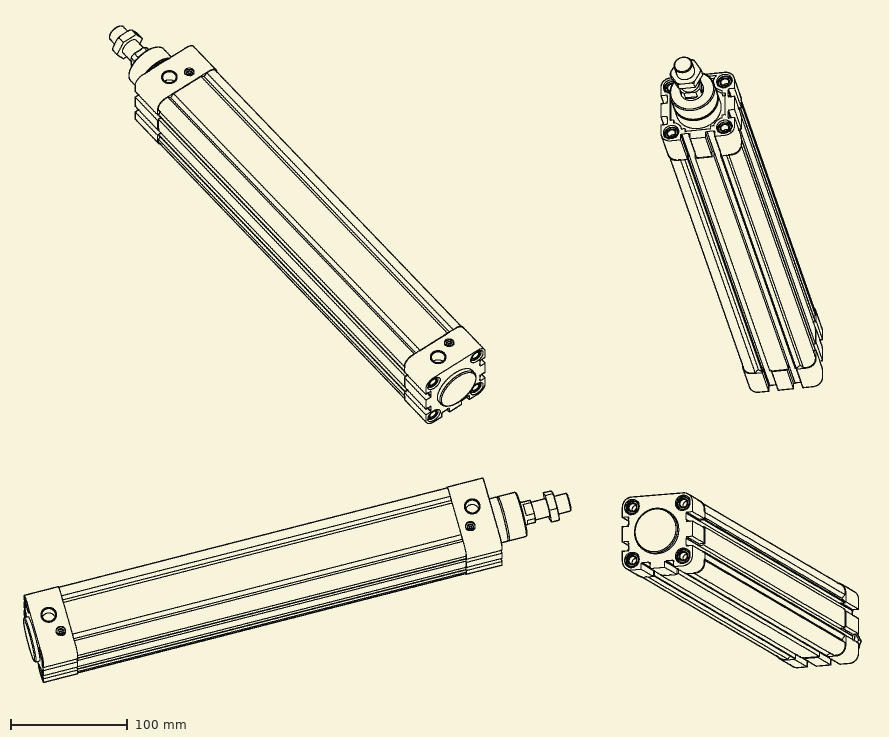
import cadquery as cq
import math

TOTAL_LENGTH = 478.5
THREAD_LENGTH = 32.0
FLATS_LENGTH = 7.0
COLLAR_START = 42.0
COLLAR_GROOVE_START = 58.0
FRONT_CAP_START = 68.0
FRONT_CAP_END = 99.5
REAR_CAP_START = 444.0
REAR_CAP_END = 474.0

CAP_SIZE = 64.0
CAP_CORNER_RADIUS = 8.5
BARREL_SIZE = 62.5
BARREL_CORNER_RADIUS = 7.5

SLOT_INNER = 8.0
SLOT_OUTER = 14.0
SLOT_FLOOR = 26.5
CAP_SLOT_INNER = 6.5
CAP_SLOT_OUTER = 15.0
CAP_SLOT_FLOOR = 27.0

V_GROOVE_INNER = 15.0
V_GROOVE_APEX = 18.0
V_GROOVE_OUTER = 21.0
V_GROOVE_DEPTH = 3.0

COLLAR_DIAMETER = 39.0
COLLAR_GROOVE_WIDTH = 1.5
COLLAR_GROOVE_DEPTH = 0.5
COLLAR_CHAMFER = 1.0

RECESS_DEPTH = 4.5
RECESS_HALF_WIDTH = 24.0
RECESS_TOP = 29.5
POST_SIDE = 21.0
POST_END = 11.0
BOSS_DIAMETER = 19.0
RIB_DIAMETER = 4.0
RIB_Y = 1.5

SCREW_SPACING = 46.5
SCREW_BORE_DIAMETER = 13.5
SCREW_HEAD_DIAMETER = 11.0
SCREW_SOCKET_MOUTH_DIAMETER = 8.0
SCREW_SOCKET_DIAMETER = 6.5
SCREW_SOCKET_MOUTH_DEPTH = 0.5
SCREW_BORE_DEPTH = 3.0
SCREW_HEAD_HEIGHT = 1.5
SCREW_SOCKET_DEPTH = 9.5

PORT_MOUTH_DIAMETER = 13.5
PORT_MOUTH_DEPTH = 0.5
PORT_DIAMETER = 11.5
PORT_DEPTH = 12.0
PORT_Y = -7.0
CUSHION_BORE_DIAMETER = 8.0
CUSHION_BORE_DEPTH = 2.0
CUSHION_SOCKET_DIAMETER = 5.5
CUSHION_SOCKET_DEPTH = 4.0
CUSHION_PILOT_DIAMETER = 2.5
CUSHION_PILOT_DEPTH = 5.7
CUSHION_Y = 9.5
CUSHION_OFFSET = 6.0

ROD_DIAMETER = 20.0
THREAD_DIAMETER = 16.0
THREAD_CHAMFER = 0.7
FLATS_WIDTH = 17.0
NUT_START = 12.0
NUT_THICKNESS = 7.0
NUT_WIDTH = 24.0
NUT_CHAMFER = 1.0

FRONT_CAP_MIDDLE = (FRONT_CAP_START + FRONT_CAP_END) / 2
REAR_CAP_MIDDLE = (REAR_CAP_START + REAR_CAP_END) / 2
SIDE_ANGLES = (90, -90, 180)
ALL_ANGLES = (0, *SIDE_ANGLES)


def section(x):
    """Workplane across the axis at x, with local x along Y, local y along Z and normal +X."""
    return cq.Workplane("YZ", origin=(x, 0, 0))


def disc(x_start, x_end, diameter):
    return section(x_start).circle(diameter / 2).extrude(x_end - x_start)


def rounded_bar(x_start, x_end, size, corner_radius):
    bar = section(x_start).rect(size, size).extrude(x_end - x_start)
    return bar.edges("|X").fillet(corner_radius)


def around_axis(cutter, angles):
    """Copies of a cutter turned about the X axis."""
    copies = cq.Workplane()
    for angle in angles:
        copies = copies.add(cutter.rotate((0, 0, 0), (1, 0, 0), angle))
    return copies.combine()


def slots(x_start, x_end, inner, outer, floor):
    """Pairs of rectangular slots along both sides and the bottom, open at the face."""
    slot = (
        section(x_start)
        .center((inner + outer) / 2, (floor + CAP_SIZE) / 2)
        .rect(outer - inner, CAP_SIZE - floor)
        .extrude(x_end - x_start)
    )
    return around_axis(slot.union(slot.mirror("XZ")), SIDE_ANGLES)


def v_grooves():
    """One V groove near each corner on every barrel face."""
    face = BARREL_SIZE / 2
    profile = [(V_GROOVE_INNER, face), (V_GROOVE_APEX, face - V_GROOVE_DEPTH), (V_GROOVE_OUTER, face)]
    groove = section(FRONT_CAP_END).polyline(profile).close().extrude(REAR_CAP_START - FRONT_CAP_END)
    return around_axis(groove.union(groove.mirror("XZ")), ALL_ANGLES)


def barrel():
    """Grooved bar between the caps, without its slots."""
    bar = rounded_bar(FRONT_CAP_END, REAR_CAP_START, BARREL_SIZE, BARREL_CORNER_RADIUS)
    return bar.cut(v_grooves())


def top_hole(x, y, diameter, depth):
    return cq.Workplane(origin=(x, y, CAP_SIZE / 2)).circle(diameter / 2).extrude(-depth)


def top_ports(cap_middle, cushion_x):
    """Air port and stepped cushion screw hole."""
    port = top_hole(cap_middle, PORT_Y, PORT_DIAMETER, PORT_DEPTH)
    port = port.union(top_hole(cap_middle, PORT_Y, PORT_MOUTH_DIAMETER, PORT_MOUTH_DEPTH))
    bore = top_hole(cushion_x, CUSHION_Y, CUSHION_BORE_DIAMETER, CUSHION_BORE_DEPTH)
    socket = top_hole(cushion_x, CUSHION_Y, CUSHION_SOCKET_DIAMETER, CUSHION_SOCKET_DEPTH)
    pilot = top_hole(cushion_x, CUSHION_Y, CUSHION_PILOT_DIAMETER, CUSHION_PILOT_DEPTH)
    return port.union(bore).union(socket).union(pilot)


def cap(x_start, x_end):
    block = rounded_bar(x_start, x_end, CAP_SIZE, CAP_CORNER_RADIUS)
    return block.cut(slots(x_start, x_end, CAP_SLOT_INNER, CAP_SLOT_OUTER, CAP_SLOT_FLOOR))


def screw_circles(x, diameter, length):
    """One cylinder at each of the four screw positions."""
    centres = section(x).rect(SCREW_SPACING, SCREW_SPACING, forConstruction=True).vertices()
    return centres.circle(diameter / 2).extrude(length)


def screw_recesses(face_x, inward):
    """Bores with a socket screw in each; inward is +1 or -1 along X."""
    bores = screw_circles(face_x, SCREW_BORE_DIAMETER, inward * SCREW_BORE_DEPTH)
    head_x = face_x + inward * (SCREW_BORE_DEPTH - SCREW_HEAD_HEIGHT)
    heads = screw_circles(head_x, SCREW_HEAD_DIAMETER, inward * SCREW_HEAD_HEIGHT)
    sockets = screw_circles(face_x, SCREW_SOCKET_DIAMETER, inward * SCREW_SOCKET_DEPTH)
    mouths = screw_circles(head_x, SCREW_SOCKET_MOUTH_DIAMETER, inward * SCREW_SOCKET_MOUTH_DEPTH)
    return bores.cut(heads).union(mouths).union(sockets)


def front_recess():
    """Pocket around the collar, leaving the screw bosses, the corner posts and a round rib."""
    width = 2 * RECESS_HALF_WIDTH
    height = RECESS_HALF_WIDTH + RECESS_TOP
    pocket = (
        section(FRONT_CAP_START)
        .center(0, (RECESS_TOP - RECESS_HALF_WIDTH) / 2)
        .rect(width, height)
        .extrude(RECESS_DEPTH)
    )
    bosses = screw_circles(FRONT_CAP_START, BOSS_DIAMETER, RECESS_DEPTH)
    near = POST_END + CAP_SIZE / 2
    far = POST_SIDE + CAP_SIZE / 2
    for side in (-1, 1):
        for y, z in ((far, near), (far, -near), (near, -far)):
            post = section(FRONT_CAP_START).center(side * y, z).rect(CAP_SIZE, CAP_SIZE)
            bosses = bosses.union(post.extrude(RECESS_DEPTH))
    rib = (
        cq.Workplane(origin=(FRONT_CAP_START + RECESS_DEPTH, RIB_Y, 0))
        .circle(RIB_DIAMETER / 2)
        .extrude(RECESS_TOP)
    )
    return pocket.cut(bosses).cut(rib)


def collar_groove():
    groove_end = COLLAR_GROOVE_START + COLLAR_GROOVE_WIDTH
    core = disc(COLLAR_GROOVE_START, groove_end, COLLAR_DIAMETER - 2 * COLLAR_GROOVE_DEPTH)
    return disc(COLLAR_GROOVE_START, groove_end, CAP_SIZE).cut(core)


def front_collar():
    collar = disc(COLLAR_START, FRONT_CAP_END, COLLAR_DIAMETER).faces("<X").chamfer(COLLAR_CHAMFER)
    return collar.cut(collar_groove())


def rear_collar():
    return disc(REAR_CAP_END, TOTAL_LENGTH, COLLAR_DIAMETER).faces(">X").chamfer(COLLAR_CHAMFER)


def housing_body():
    """Barrel, both caps and their collars as one solid, bored for the rod."""
    body = barrel()
    body = body.union(cap(FRONT_CAP_START, FRONT_CAP_END)).union(cap(REAR_CAP_START, REAR_CAP_END))
    body = body.cut(slots(FRONT_CAP_START, REAR_CAP_END, SLOT_INNER, SLOT_OUTER, SLOT_FLOOR))
    body = body.cut(front_recess())
    body = body.union(front_collar())
    body = body.union(rear_collar())
    body = body.cut(screw_recesses(FRONT_CAP_START, 1)).cut(screw_recesses(REAR_CAP_END, -1))
    body = body.cut(top_ports(FRONT_CAP_MIDDLE, FRONT_CAP_MIDDLE + CUSHION_OFFSET))
    body = body.cut(top_ports(REAR_CAP_MIDDLE, REAR_CAP_MIDDLE - CUSHION_OFFSET))
    return body.cut(disc(COLLAR_START, FRONT_CAP_END, ROD_DIAMETER))


def rod_shank():
    """Round shank with a square wrench section at its outer end."""
    flats_end = THREAD_LENGTH + FLATS_LENGTH
    round_part = disc(THREAD_LENGTH, FRONT_CAP_END, ROD_DIAMETER)
    square = section(THREAD_LENGTH).rect(FLATS_WIDTH, FLATS_WIDTH).extrude(FLATS_LENGTH)
    return round_part.cut(disc(THREAD_LENGTH, flats_end, 2 * ROD_DIAMETER).cut(square))


def lock_nut():
    """Hexagon with its corners chamfered on the side of the rod tip."""
    corner_diameter = NUT_WIDTH / math.cos(math.pi / 6)
    hexagon = section(NUT_START).polygon(6, corner_diameter).extrude(NUT_THICKNESS)
    envelope = disc(NUT_START, NUT_START + NUT_THICKNESS, corner_diameter).faces("<X").chamfer(NUT_CHAMFER)
    return hexagon.intersect(envelope)


def rod_body():
    thread = disc(0, THREAD_LENGTH, THREAD_DIAMETER).faces("<X").chamfer(THREAD_CHAMFER)
    return thread.union(rod_shank()).union(lock_nut())


housing = housing_body()
rod = rod_body()
result = cq.Compound.makeCompound([housing.val(), rod.val()])